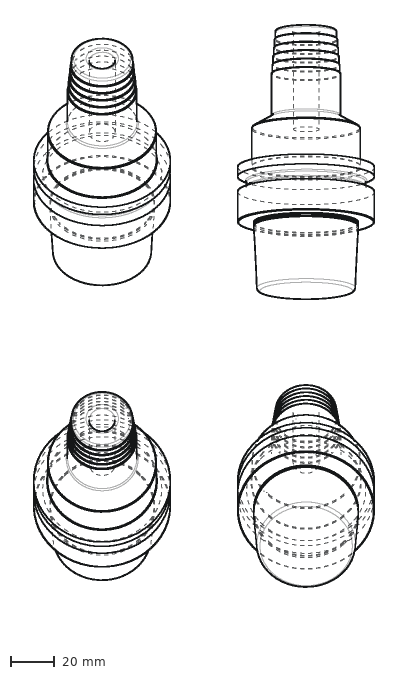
import cadquery as cq
import math


TOTAL_HEIGHT = 121.9
FLANGE_BOTTOM_Z = 31.9
FLANGE_HEIGHT = 26.0
FLANGE_TOP_Z = FLANGE_BOTTOM_Z + FLANGE_HEIGHT
BODY_TOP_Z = 76.2

SHANK_TOP_DIAMETER = 48.3
SHANK_TAPER = 1 / 10
SHANK_END_FILLET = 1.5
RELIEF_DIAMETER = 47.5
RELIEF_HEIGHT = 1.1
RELIEF_CORNER_CHAMFER = 0.4
RELIEF_CHAMFER_HEIGHT = 0.7

FLANGE_DIAMETER = 62.9
FLANGE_CHAMFER = 0.4
GROOVE_CENTRE_Z = 49.9
GROOVE_WIDTH = 7.0
GROOVE_FLOOR_DIAMETER = 54.9
GROOVE_FLANK_ANGLE = 26
GROOVE_FILLET = 0.9
GROOVE_CUTTER_CLEARANCE = 1.2

BODY_DIAMETER = 50
BODY_EDGE_CHAMFER = 0.4
BODY_BASE_FLARE = 0.4
SHOULDER_ANGLE = 30
SHOULDER_FILLET = 1.2

NOSE_DIAMETER = 31.9
STEP_COUNT = 5
STEP_HEIGHT = 4.0
STEP_DEPTH = 0.4
NOSE_TOP_FILLET = 1.0

BORE_DIAMETER = 12.0
BORE_DEPTH = 46.3
BORE_MOUTH_FILLET = 1.5

flange_radius = FLANGE_DIAMETER / 2
body_radius = BODY_DIAMETER / 2
nose_radius = NOSE_DIAMETER / 2


def revolve_profile(points):
    return cq.Workplane("XZ").polyline(points).close().revolve(360, (0, 0, 0), (0, 1, 0))


def rim_at(radius, z):
    """Select the circular edge of this radius at this height."""
    margin = 0.01
    corner_low = (-radius - margin, -radius - margin, z - margin)
    corner_high = (radius + margin, radius + margin, z + margin)
    return cq.selectors.BoxSelector(corner_low, corner_high, boundingbox=True)


def make_shank():
    shank_top_radius = SHANK_TOP_DIAMETER / 2
    relief_radius = RELIEF_DIAMETER / 2
    relief_bottom_z = FLANGE_BOTTOM_Z - RELIEF_HEIGHT
    shank_top_z = relief_bottom_z - RELIEF_CHAMFER_HEIGHT
    shank_end_radius = shank_top_radius - shank_top_z * SHANK_TAPER / 2
    shank = revolve_profile([
        (0, 0),
        (shank_end_radius, 0),
        (shank_top_radius, shank_top_z),
        (relief_radius, relief_bottom_z),
        (relief_radius, FLANGE_BOTTOM_Z - RELIEF_CORNER_CHAMFER),
        (relief_radius + RELIEF_CORNER_CHAMFER, FLANGE_BOTTOM_Z),
        (0, FLANGE_BOTTOM_Z),
    ])
    return shank.faces("<Z").edges().fillet(SHANK_END_FILLET)


def make_groove():
    floor_radius = GROOVE_FLOOR_DIAMETER / 2
    flank_height = (flange_radius - floor_radius) * math.tan(math.radians(GROOVE_FLANK_ANGLE))
    half_mouth = GROOVE_WIDTH / 2
    half_floor = half_mouth - flank_height
    clear_radius = flange_radius + GROOVE_CUTTER_CLEARANCE
    cutter = revolve_profile([
        (floor_radius, GROOVE_CENTRE_Z - half_floor),
        (flange_radius, GROOVE_CENTRE_Z - half_mouth),
        (clear_radius, GROOVE_CENTRE_Z - half_mouth),
        (clear_radius, GROOVE_CENTRE_Z + half_mouth),
        (flange_radius, GROOVE_CENTRE_Z + half_mouth),
        (floor_radius, GROOVE_CENTRE_Z + half_floor),
    ])
    floor_edges = cq.selectors.RadiusNthSelector(0)
    return cutter.edges("%CIRCLE").edges(floor_edges).fillet(GROOVE_FILLET)


def make_flange():
    base = cq.Workplane("XY").workplane(offset=FLANGE_BOTTOM_Z)
    flange = base.circle(flange_radius).extrude(FLANGE_HEIGHT)
    flange = flange.faces("<Z").edges().chamfer(FLANGE_CHAMFER)
    return flange.cut(make_groove())


def make_body_and_nose():
    shoulder_top_z = BODY_TOP_Z + (body_radius - nose_radius) * math.tan(math.radians(SHOULDER_ANGLE))
    points = [
        (0, FLANGE_TOP_Z),
        (body_radius + BODY_BASE_FLARE, FLANGE_TOP_Z),
        (body_radius, FLANGE_TOP_Z + BODY_BASE_FLARE),
        (body_radius, BODY_TOP_Z),
        (nose_radius, shoulder_top_z),
    ]
    for step in range(STEP_COUNT):
        step_z = TOTAL_HEIGHT - (STEP_COUNT - step) * STEP_HEIGHT
        outer_radius = nose_radius - step * STEP_DEPTH
        points.append((outer_radius, step_z - STEP_DEPTH))
        points.append((outer_radius - STEP_DEPTH, step_z))
    points.append((nose_radius - STEP_COUNT * STEP_DEPTH, TOTAL_HEIGHT))
    points.append((0, TOTAL_HEIGHT))
    turned = revolve_profile(points)
    turned = turned.edges(rim_at(nose_radius, shoulder_top_z)).fillet(SHOULDER_FILLET)
    turned = turned.edges(rim_at(body_radius, BODY_TOP_Z)).chamfer(BODY_EDGE_CHAMFER)
    return turned.faces(">Z").edges().fillet(NOSE_TOP_FILLET)


def cut_bore(solid):
    drilled = solid.faces(">Z").workplane().circle(BORE_DIAMETER / 2).cutBlind(-BORE_DEPTH)
    inner_rim = cq.selectors.RadiusNthSelector(0)
    return drilled.faces(">Z").edges(inner_rim).fillet(BORE_MOUTH_FILLET)


result = cut_bore(make_shank().union(make_flange()).union(make_body_and_nose()))